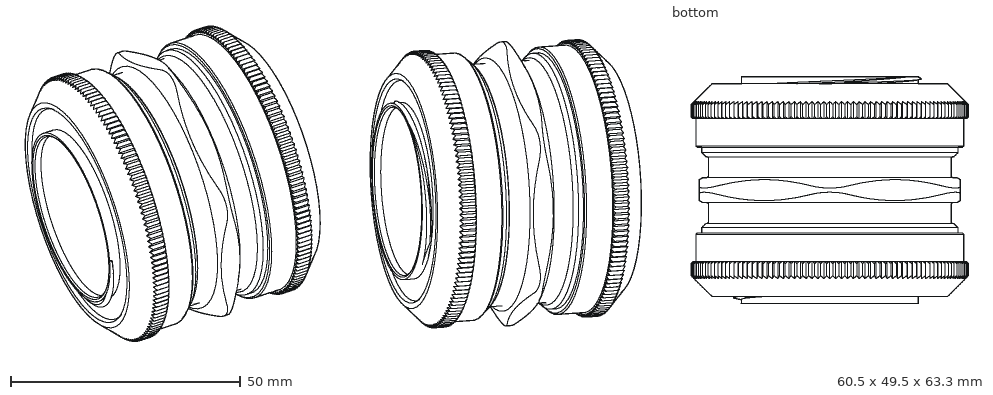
import cadquery as cq
import math


HEX_ACROSS_FLATS = 57.0
HEX_HALF_WIDTH = 2.75
HEX_CORNER_RADIUS = 8.0
HEX_BEVEL_RADIUS = 27.7
HEX_BEVEL_ANGLE = 30.0

NECK_RADIUS = 53.0 / 2
NECK_FILLET = 0.35
SHOULDER_RADIUS = 56.0 / 2
SHOULDER_START = 7.25
SHOULDER_CHAMFER = 0.95

COLLAR_RADIUS = 58.5 / 2
COLLAR_START = 9.3
COLLAR_CHAMFER = 0.35
KNURL_START = 15.6
KNURL_CHAMFER = 0.4
KNURL_RADIUS = 30.25
KNURL_TEETH = 144
NUT_FACE = 23.2
NUT_FACE_RADIUS = 25.7

RECESS_RADIUS = 24.5
RECESS_FLOOR_RADIUS = 24.1
RECESS_FLOOR = 22.3

TUBE_END = 49.5 / 2
TUBE_RADIUS = 19.3
BORE_RADIUS = 36.8 / 2
BORE_CHAMFER = 0.35
BORE_DEPTH = 1.8

THREAD_CREST_RADIUS = 21.0
THREAD_PITCH = 5.2
THREAD_ROOT_WIDTH = 1.0
THREAD_CREST_WIDTH = 0.3
THREAD_OVERLAP = 0.3
THREAD_START_Y = 22.7
THREAD_SWEEP_ANGLE = 141.0
THREAD_CHAMFER_LENGTH = 1.2
FRONT_THREAD_START_ANGLE = 227.0
REAR_THREAD_START_ANGLE = FRONT_THREAD_START_ANGLE + 90.0


def make_turned_half():
    """Turned outline of the +Y half, from the middle plane out to the sunken disc."""
    hex_fillet_end = HEX_HALF_WIDTH + NECK_FILLET
    shoulder_fillet_end = SHOULDER_START - NECK_FILLET
    fillet_radius = NECK_RADIUS + NECK_FILLET
    arc_inset = NECK_FILLET * (1 - math.sqrt(0.5))
    cone_start = NUT_FACE - (KNURL_RADIUS - NUT_FACE_RADIUS)
    profile = (
        cq.Workplane("XY")
        .lineTo(fillet_radius, 0)
        .lineTo(fillet_radius, HEX_HALF_WIDTH)
        .threePointArc(
            (NECK_RADIUS + arc_inset, HEX_HALF_WIDTH + arc_inset),
            (NECK_RADIUS, hex_fillet_end),
        )
        .lineTo(NECK_RADIUS, shoulder_fillet_end)
        .threePointArc(
            (NECK_RADIUS + arc_inset, SHOULDER_START - arc_inset),
            (fillet_radius, SHOULDER_START),
        )
        .lineTo(SHOULDER_RADIUS - SHOULDER_CHAMFER, SHOULDER_START)
        .lineTo(SHOULDER_RADIUS, SHOULDER_START + SHOULDER_CHAMFER)
        .lineTo(SHOULDER_RADIUS, COLLAR_START)
        .lineTo(COLLAR_RADIUS - COLLAR_CHAMFER, COLLAR_START)
        .lineTo(COLLAR_RADIUS, COLLAR_START + COLLAR_CHAMFER)
        .lineTo(COLLAR_RADIUS, KNURL_START)
        .lineTo(KNURL_RADIUS - KNURL_CHAMFER, KNURL_START)
        .lineTo(KNURL_RADIUS, KNURL_START + KNURL_CHAMFER)
        .lineTo(KNURL_RADIUS, cone_start)
        .lineTo(NUT_FACE_RADIUS, NUT_FACE)
        .lineTo(RECESS_RADIUS, NUT_FACE)
        .lineTo(RECESS_FLOOR_RADIUS, RECESS_FLOOR)
        .lineTo(TUBE_RADIUS, RECESS_FLOOR)
        .lineTo(TUBE_RADIUS, TUBE_END)
        .lineTo(BORE_RADIUS + BORE_CHAMFER, TUBE_END)
        .lineTo(BORE_RADIUS, TUBE_END - BORE_CHAMFER)
        .lineTo(BORE_RADIUS, TUBE_END - BORE_DEPTH)
        .lineTo(0, TUBE_END - BORE_DEPTH)
        .close()
    )
    return profile.revolve(360, (0, 0, 0), (0, 1, 0))


def make_knurl_envelope():
    """Toothed prism with 90 degree V grooves; a groove lies on each of the X and Z axes."""
    half_pitch = math.pi / KNURL_TEETH
    root_radius = KNURL_RADIUS * (1 - half_pitch)
    points = []
    for step in range(2 * KNURL_TEETH):
        radius = KNURL_RADIUS if step % 2 else root_radius
        angle = step * half_pitch
        points.append((radius * math.cos(angle), radius * math.sin(angle)))
    return cq.Workplane("XZ").polyline(points).close().extrude(TUBE_END, both=True)


def make_hex_flange():
    """Hexagon with rounded corners on +-Z, bevelled by a cone on both faces."""
    corner_circle = HEX_ACROSS_FLATS / math.cos(math.pi / 6)
    hexagon = (
        cq.Workplane("XZ")
        .polygon(6, corner_circle)
        .extrude(HEX_HALF_WIDTH, both=True)
        .rotate((0, 0, 0), (0, 1, 0), 90)
        .edges("|Y")
        .fillet(HEX_CORNER_RADIUS)
    )
    tip_radius = HEX_BEVEL_RADIUS + HEX_HALF_WIDTH / math.tan(math.radians(HEX_BEVEL_ANGLE))
    double_cone = (
        cq.Workplane("XY")
        .moveTo(0, -HEX_HALF_WIDTH)
        .lineTo(HEX_BEVEL_RADIUS, -HEX_HALF_WIDTH)
        .lineTo(tip_radius, 0)
        .lineTo(HEX_BEVEL_RADIUS, HEX_HALF_WIDTH)
        .lineTo(0, HEX_HALF_WIDTH)
        .close()
        .revolve(360, (0, 0, 0), (0, 1, 0))
    )
    return hexagon.intersect(double_cone)


def make_thread(start_angle):
    """Right-hand thread ridge on the +Y tube, starting at a tangent flat.

    It is built rising along Z with its start on +X, then turned to point along +Y.
    """
    height = THREAD_PITCH * THREAD_SWEEP_ANGLE / 360
    helix = cq.Wire.makeHelix(THREAD_PITCH, height, TUBE_RADIUS)
    ridge = (
        cq.Workplane("XZ")
        .moveTo(TUBE_RADIUS - THREAD_OVERLAP, -THREAD_ROOT_WIDTH / 2)
        .lineTo(TUBE_RADIUS, -THREAD_ROOT_WIDTH / 2)
        .lineTo(THREAD_CREST_RADIUS, -THREAD_CREST_WIDTH / 2)
        .lineTo(THREAD_CREST_RADIUS, THREAD_CREST_WIDTH / 2)
        .lineTo(TUBE_RADIUS, THREAD_ROOT_WIDTH / 2)
        .lineTo(TUBE_RADIUS - THREAD_OVERLAP, THREAD_ROOT_WIDTH / 2)
        .close()
        .sweep(cq.Workplane(obj=helix), isFrenet=True)
        .translate((0, 0, THREAD_START_Y))
    )
    outer_radius = THREAD_CREST_RADIUS + THREAD_OVERLAP
    chamfered_end = (
        cq.Workplane("XZ")
        .lineTo(outer_radius, 0)
        .lineTo(outer_radius, TUBE_END - THREAD_CHAMFER_LENGTH)
        .lineTo(THREAD_CREST_RADIUS, TUBE_END - THREAD_CHAMFER_LENGTH)
        .lineTo(TUBE_RADIUS, TUBE_END)
        .lineTo(0, TUBE_END)
        .close()
        .revolve(360, (0, 0, 0), (0, 1, 0))
    )
    beyond_flat = (
        cq.Workplane("XY")
        .box(outer_radius, 2 * outer_radius, TUBE_END, centered=(False, True, False))
        .translate((TUBE_RADIUS, 0, 0))
    )
    trimmed = ridge.intersect(chamfered_end).cut(beyond_flat)
    turned = trimmed.rotate((0, 0, 0), (0, 0, 1), start_angle + 180)
    return turned.rotate((0, 0, 0), (1, 0, 0), -90)


rear_half = make_turned_half().intersect(make_knurl_envelope())
front_half = rear_half.mirror("XZ")
rear_thread = make_thread(REAR_THREAD_START_ANGLE)
front_thread = make_thread(FRONT_THREAD_START_ANGLE).rotate((0, 0, 0), (0, 0, 1), 180)

result = rear_half.union(front_half).union(make_hex_flange())
result = result.union(rear_thread).union(front_thread)